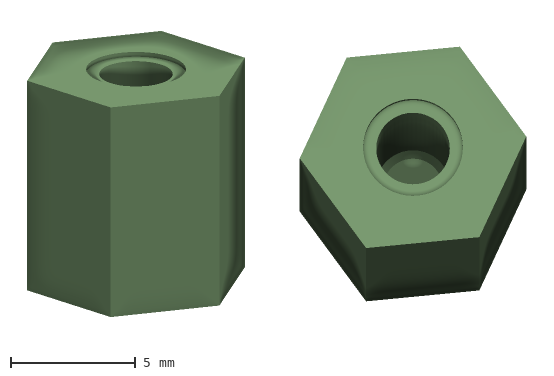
import cadquery as cq
import math

across_flats = 7.9
hex_sides = 6
hex_half_angle = 180 / hex_sides
across_corners = across_flats / math.cos(math.radians(hex_half_angle))
height = 8.95

recess_diameter = 4.0
recess_depth = 0.2
bore_diameter = 2.95
bore_depth = 6.5
floor_diameter = 2.36
taper_depth = 0.2


def make_body():
    """Upright hexagonal prism standing on Z = 0, corners on the Y axis."""
    hexagon = cq.Workplane("XY").polygon(hex_sides, across_corners)
    return hexagon.extrude(height).rotate((0, 0, 0), (0, 0, 1), hex_half_angle)


def make_hole():
    """Stepped hole: shallow recess, straight bore and tapered bottom with a flat floor."""
    recess_z = height - recess_depth
    taper_z = height - bore_depth
    floor_z = taper_z - taper_depth
    half_profile = (
        cq.Workplane("XZ")
        .moveTo(0, floor_z)
        .lineTo(floor_diameter / 2, floor_z)
        .lineTo(bore_diameter / 2, taper_z)
        .lineTo(bore_diameter / 2, recess_z)
        .lineTo(recess_diameter / 2, recess_z)
        .lineTo(recess_diameter / 2, height)
        .lineTo(0, height)
        .close()
    )
    return half_profile.revolve(360, (0, 0, 0), (0, 1, 0))


result = make_body().cut(make_hole())